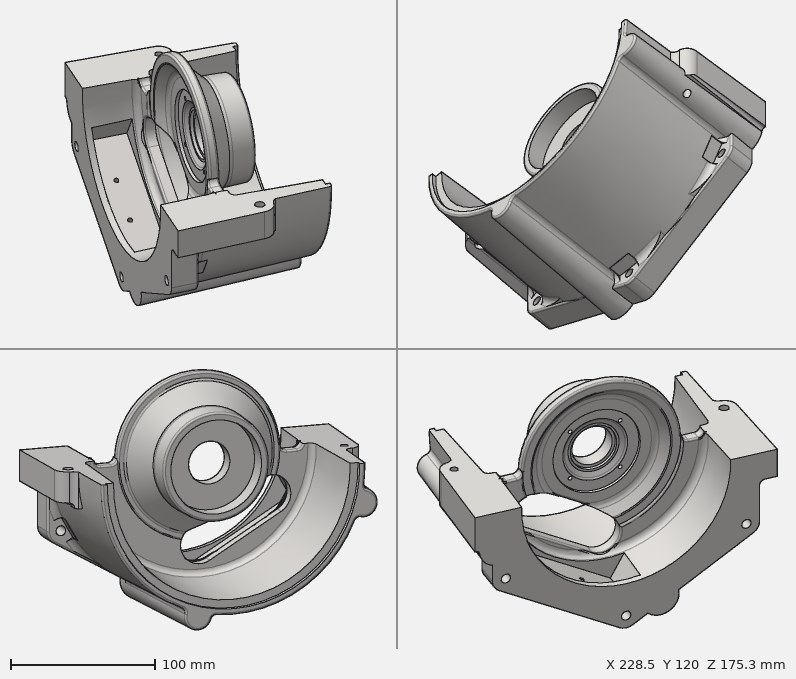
import cadquery as cq
import math

LENGTH = 120.0
HEIGHT = 175.34
PARTING_Z = 2.7
DRAFT = math.tan(math.radians(2.0))
CLEARANCE = 1.0
TOLERANCE = 1e-3
SIDES = (-1, 1)
OVERSIZE = 150.0

FLANGE_THICKNESS = 20.0
FLANGE_EDGE_ROUND = 1.5
BOLT_CIRCLE_RADIUS = 105.0
BOLT_ANGLES = (-150.0, -90.0, -30.0)
BOLT_DIAMETER = 7.0
BOLT_CORNER_RADIUS = 10.0
SHELL_RADIUS = 101.6
SHELL_BLEND = 5.0
REAR_EDGE_ROUND = 1.5
SEAT_DEPTH = 10.0
SEAT_WIDTH = 18.2
SEAT_FLAT_RADIUS = 100.1

BOSS_CIRCLE_RADIUS = 100.0
BOSS_ANGLES = (-165.0, -75.0)
BOSS_RADIUS = 14.1
BOSS_BLEND = 4.0

EAR_HALF_SPAN = 114.27
EAR_HOLE_X = 102.0
EAR_HOLE_Y = 64.8
EAR_ROUND = 10.0
EAR_END_Y = 77.6
EAR_NECK = (100.2, 75.9)
EAR_SHOULDER_ANGLE = 75.0
EAR_INNER_X = 92.0
EAR_BOTTOM_Z = {-1: -25.3, 1: -19.5}
EAR_BLEND = {-1: 2.5, 1: 4.0}
EAR_HOLE_DIAMETER = {-1: 5.4, 1: 7.0}
EAR_ROOT_X = {-1: 110.7, 1: 100.93}

WEB_FRONT_Y = 41.0
WEB_BACK_Y = 50.0
FRONT_CAVITY_RADIUS = 79.0
FRONT_CAVITY_FILLET = 5.0
REAR_CAVITY_RADIUS = 87.4
REAR_CAVITY_FILLET = 4.5
REGISTER_RADIUS = 93.2
REGISTER_DEPTH = 3.4
WEB_TOP_Z = -1.1
NOTCH_ROUND = 4.5
NOTCH_INNER_X = 60.3
NOTCH_OUTER_X = 77.0
WEB_EDGE_ROUND = 1.4

RIM_RADIUS = HEIGHT - BOLT_CIRCLE_RADIUS - BOLT_CORNER_RADIUS
RIM_FRONT_Y = 43.0
RIM_BACK_Y = 50.4
RIM_ROUND = 1.5
RIM_RECESS_RADIUS = 59.8
RIM_RECESS_ROUND = 1.5
DISH_RADIUS = 52.8
DISH_FLOOR_RADIUS = 42.0
DISH_FLOOR_Y = 51.5
DISH_FILLET = 7.0
DISH_EDGE_ROUND = 1.5
STEP_RADIUS = 33.0
STEP_Y = 54.0
HUB_RADIUS = 39.5
HUB_SHOULDER_Y = 68.0
HUB_END_Y = 85.0
HUB_ROUND = 1.5
CONE_RADIUS = 54.6
CONE_BLEND = 2.5
BORE_RADIUS = 15.2
REAR_BORE_RADIUS = 33.5
REAR_BORE_Y = 71.0
BOWL_RADIUS = 24.5
BOWL_RIM_RADIUS = 23.0
BOWL_RIM_Y = 55.0
BOWL_STEP_RADIUS = 19.3
BOWL_STEP_Y = 57.0
BOWL_END_RADIUS = 17.5
BOWL_END_Y = 59.5
SCREW_OFFSET = 18.9
SCREW_DIAMETER = 2.9
SCREW_DEPTH = 8.0

TILT = 30.0
SLOT_DISTANCE = 54.5
SLOT_SPAN = 61.0
SLOT_RADIUS = 14.3
SLOT_FRONT_Y = 35.0
SLOT_BACK_Y = 68.0
POCKET_DISTANCE = 80.5
POCKET_LENGTH = 100.0
POCKET_HEIGHT = 45.0
POCKET_FRONT_Y = 5.0
POCKET_BACK_Y = 34.6
TAPPED_SPACING = 32.0
TAPPED_Y = 16.0
TAPPED_DIAMETER = 3.3
TAPPED_DEPTH = 10.0


def polar(radius, angle):
    """XZ point at a radius and an angle (degrees) around the bore axis."""
    return radius * math.cos(math.radians(angle)), radius * math.sin(math.radians(angle))


def cylinder_y(x, z, radius, y_start, y_end, y_taper=0.0):
    """Cylinder along Y, narrowing by y_taper per unit of length."""
    length = y_end - y_start
    start = cq.Vector(x, y_start, z)
    along_y = cq.Vector(0, 1, 0)
    if y_taper:
        solid = cq.Solid.makeCone(radius, radius - y_taper * length, length, start, along_y)
    else:
        solid = cq.Solid.makeCylinder(radius, length, start, along_y)
    return cq.Workplane(obj=solid)


def turned(profile):
    """Revolve a closed (radius, y) profile around the bore axis."""
    return profile.close().revolve(360, (0, 0, 0), (0, 1, 0))


def prism_y(profile, y_start, y_end):
    """Extrude a closed XZ profile, drawn on the plane y = 0, from y_start to y_end."""
    return profile.close().extrude(-(y_end - y_start)).translate((0, y_start, 0))


def block(x_range, y_range, z_range):
    """Axis-aligned box from its three ranges."""
    sizes = [high - low for low, high in (x_range, y_range, z_range)]
    corner = (x_range[0], y_range[0], z_range[0])
    return cq.Workplane("XY").box(*sizes, centered=False).translate(corner)


def shell_radius(y):
    return SHELL_RADIUS - DRAFT * y


def flange_prism(thickness, inset=0.0):
    """Three-cornered plate whose sides are tangent to the rounds around the bolt holes."""
    corner_radius = BOLT_CORNER_RADIUS - inset
    apothem = BOLT_CIRCLE_RADIUS * math.cos(math.radians(TILT)) + corner_radius
    corner = apothem / math.cos(math.radians(TILT))
    left, bottom, right = [polar(corner, angle) for angle in BOLT_ANGLES]
    profile = cq.Workplane("XZ").moveTo(left[0], PARTING_Z)
    profile = profile.lineTo(*left).lineTo(*bottom).lineTo(*right).lineTo(right[0], PARTING_Z)
    plate = prism_y(profile, 0, thickness)
    for corner_point in (left, bottom, right):
        point = (corner_point[0], thickness / 2, corner_point[1])
        plate = plate.edges(cq.selectors.NearestToPointSelector(point)).fillet(corner_radius)
    return plate


def shell():
    """Drafted outer ring of the housing behind the flange."""
    start = FLANGE_THICKNESS / 2
    profile = (cq.Workplane("XY").moveTo(0, start).lineTo(shell_radius(FLANGE_THICKNESS), start)
               .lineTo(shell_radius(FLANGE_THICKNESS), FLANGE_THICKNESS)
               .lineTo(shell_radius(LENGTH), LENGTH).lineTo(0, LENGTH))
    return turned(profile)


def shell_blend():
    """Concave ring between shell and flange back, kept inside the flange outline."""
    y_end = FLANGE_THICKNESS + SHELL_BLEND
    root = shell_radius(FLANGE_THICKNESS)
    centre = (root + SHELL_BLEND, y_end)
    reach = SHELL_BLEND * math.sqrt(0.5)
    profile = (cq.Workplane("XY").moveTo(root - SHELL_BLEND, FLANGE_THICKNESS)
               .lineTo(centre[0], FLANGE_THICKNESS)
               .threePointArc((centre[0] - reach, centre[1] - reach), (shell_radius(y_end), y_end))
               .lineTo(root - SHELL_BLEND, y_end))
    return turned(profile).intersect(flange_prism(2 * FLANGE_THICKNESS, FLANGE_EDGE_ROUND))


def ear(side):
    """Clamping ear on one side (-1 or +1): its plan shape cut to its end-view shape."""
    tip_x = EAR_HALF_SPAN - DRAFT * EAR_HOLE_Y
    bend = polar(EAR_ROUND, EAR_SHOULDER_ANGLE)
    mid = polar(EAR_ROUND, EAR_SHOULDER_ANGLE / 2)
    shell_x = shell_radius(EAR_END_Y)
    plan = (cq.Workplane("XY").workplane(offset=PARTING_Z - OVERSIZE).moveTo(EAR_INNER_X, 0)
            .lineTo(EAR_HALF_SPAN, 0).lineTo(tip_x, EAR_HOLE_Y)
            .threePointArc((EAR_HOLE_X + mid[0], EAR_HOLE_Y + mid[1]),
                           (EAR_HOLE_X + bend[0], EAR_HOLE_Y + bend[1]))
            .threePointArc(EAR_NECK, (shell_x, EAR_END_Y))
            .lineTo(EAR_INNER_X, EAR_END_Y).close().extrude(OVERSIZE))
    bottom = EAR_BOTTOM_Z[side]
    blend = EAR_BLEND[side]
    root_x = EAR_ROOT_X[side]
    sag = blend * (1 - math.sqrt(0.5))
    end_view = (cq.Workplane("XZ").moveTo(EAR_INNER_X, PARTING_Z).lineTo(OVERSIZE, PARTING_Z)
                .lineTo(OVERSIZE, bottom).lineTo(root_x + blend, bottom)
                .threePointArc((root_x + sag, bottom - sag), (root_x, bottom - blend))
                .lineTo(EAR_INNER_X, bottom - blend))
    solid = plan.intersect(prism_y(end_view, 0, EAR_END_Y))
    return solid if side > 0 else solid.mirror("YZ")


def boss(angle):
    x, z = polar(BOSS_CIRCLE_RADIUS, angle)
    return cylinder_y(x, z, BOSS_RADIUS, 0, LENGTH, DRAFT)


def front_cavity():
    """Drafted cavity in front of the web, with a filleted floor."""
    wall = FRONT_CAVITY_RADIUS - DRAFT * (WEB_FRONT_Y - FRONT_CAVITY_FILLET)
    sag = FRONT_CAVITY_FILLET * (1 - math.sqrt(0.5))
    profile = (cq.Workplane("XY").lineTo(FRONT_CAVITY_RADIUS, 0)
               .lineTo(wall, WEB_FRONT_Y - FRONT_CAVITY_FILLET)
               .threePointArc((wall - sag, WEB_FRONT_Y - sag), (wall - FRONT_CAVITY_FILLET, WEB_FRONT_Y))
               .lineTo(0, WEB_FRONT_Y))
    return turned(profile)


def rear_cavity():
    """Drafted cavity behind the web, ending in a shallow register at the rear face."""
    fillet_y = WEB_BACK_Y + REAR_CAVITY_FILLET
    wall = REAR_CAVITY_RADIUS - DRAFT * (LENGTH - fillet_y)
    sag = REAR_CAVITY_FILLET * (1 - math.sqrt(0.5))
    register_y = LENGTH - REGISTER_DEPTH
    profile = (cq.Workplane("XY").moveTo(0, WEB_BACK_Y).lineTo(wall - REAR_CAVITY_FILLET, WEB_BACK_Y)
               .threePointArc((wall - sag, WEB_BACK_Y + sag), (wall, fillet_y))
               .lineTo(REAR_CAVITY_RADIUS, register_y).lineTo(REGISTER_RADIUS, register_y)
               .lineTo(REGISTER_RADIUS, LENGTH).lineTo(0, LENGTH))
    return turned(profile)


def rim_recess():
    """Shallow recess in the web front around the rim, with a rounded mouth."""
    mouth = RIM_RECESS_RADIUS + RIM_RECESS_ROUND
    sag = RIM_RECESS_ROUND * (1 - math.sqrt(0.5))
    profile = (cq.Workplane("XY").moveTo(0, WEB_FRONT_Y).lineTo(mouth, WEB_FRONT_Y)
               .threePointArc((RIM_RECESS_RADIUS + sag, WEB_FRONT_Y + sag),
                              (RIM_RECESS_RADIUS, WEB_FRONT_Y + RIM_RECESS_ROUND))
               .lineTo(RIM_RECESS_RADIUS, RIM_FRONT_Y).lineTo(0, RIM_FRONT_Y))
    return turned(profile)


def flare(cutter, y, outward):
    """The part of a cutter inside a wall face at height y, widened there to leave a rounded edge.

    outward is the Y direction (-1 or +1) that leads out of the wall.
    """
    slab = block((-OVERSIZE, OVERSIZE), sorted((y, y + outward * OVERSIZE)), (-OVERSIZE, OVERSIZE))
    joined = cutter.cut(slab).union(slab)

    def on_mouth(edge):
        end, middle = edge.startPoint(), edge.positionAt(0.5)
        in_plane = max(abs(end.y - y), abs(middle.y - y)) < TOLERANCE
        return in_plane and max(abs(middle.x), abs(middle.z)) < OVERSIZE - TOLERANCE
    mouth = joined.newObject(joined.edges().filter(on_mouth).vals())
    return mouth.fillet(WEB_EDGE_ROUND).cut(slab)


def web_notch(side):
    """Relief that lowers the web below the split plane between rim and cavity wall."""
    notch = block((NOTCH_INNER_X, NOTCH_OUTER_X), (WEB_FRONT_Y - CLEARANCE, WEB_BACK_Y + CLEARANCE),
                  (WEB_TOP_Z, PARTING_Z + NOTCH_ROUND))
    notch = notch.edges("|Y and <Z").fillet(NOTCH_ROUND)
    notch = notch.union(flare(notch, WEB_FRONT_Y, -1)).union(flare(notch, WEB_BACK_Y, 1))
    return notch if side > 0 else notch.mirror("YZ")


def round_circle(solid, radius, y, fillet):
    """Fillet the circular edge of the given radius that lies at height y."""
    def matches(edge):
        return abs(edge.radius() - radius) < TOLERANCE and abs(edge.Center().y - y) < TOLERANCE
    return solid.newObject(solid.edges("%CIRCLE").filter(matches).vals()).fillet(fillet)


def hub():
    """Bearing hub: rim, 45 degree cone and boss outside, dish and stepped bore inside."""
    cone_end_y = RIM_BACK_Y + CONE_RADIUS - HUB_RADIUS
    tip_radius = HUB_RADIUS - DRAFT * (HUB_END_Y - HUB_SHOULDER_Y)
    dish_corner_radius = DISH_RADIUS - (DISH_FLOOR_Y - RIM_FRONT_Y)
    profile = (cq.Workplane("XY").moveTo(DISH_RADIUS, RIM_FRONT_Y)
               .lineTo(RIM_RADIUS, RIM_FRONT_Y).lineTo(RIM_RADIUS, RIM_BACK_Y)
               .lineTo(CONE_RADIUS, RIM_BACK_Y).lineTo(HUB_RADIUS, cone_end_y)
               .lineTo(HUB_RADIUS, HUB_SHOULDER_Y).lineTo(tip_radius, HUB_END_Y)
               .lineTo(REAR_BORE_RADIUS, HUB_END_Y).lineTo(REAR_BORE_RADIUS, REAR_BORE_Y)
               .lineTo(BORE_RADIUS, REAR_BORE_Y).lineTo(BORE_RADIUS, BOWL_END_Y)
               .lineTo(BOWL_END_RADIUS, BOWL_END_Y).lineTo(BOWL_END_RADIUS, BOWL_STEP_Y)
               .lineTo(BOWL_STEP_RADIUS, BOWL_STEP_Y).lineTo(BOWL_RIM_RADIUS, BOWL_RIM_Y)
               .lineTo(BOWL_RADIUS, STEP_Y)
               .lineTo(STEP_RADIUS, STEP_Y).lineTo(STEP_RADIUS, DISH_FLOOR_Y)
               .lineTo(dish_corner_radius, DISH_FLOOR_Y))
    solid = turned(profile)
    solid = round_circle(solid, RIM_RADIUS, RIM_FRONT_Y, RIM_ROUND)
    solid = round_circle(solid, RIM_RADIUS, RIM_BACK_Y, RIM_ROUND)
    solid = round_circle(solid, CONE_RADIUS, RIM_BACK_Y, CONE_BLEND)
    solid = round_circle(solid, tip_radius, HUB_END_Y, HUB_ROUND)
    solid = round_circle(solid, DISH_RADIUS, RIM_FRONT_Y, DISH_EDGE_ROUND)
    solid = round_circle(solid, dish_corner_radius, DISH_FLOOR_Y, DISH_FILLET)
    for x in (-SCREW_OFFSET, SCREW_OFFSET):
        for z in (-SCREW_OFFSET, SCREW_OFFSET):
            solid = solid.cut(cylinder_y(x, z, SCREW_DIAMETER / 2, STEP_Y, STEP_Y + SCREW_DEPTH))
    return solid


def tilted(solid):
    """Turn a solid drawn below the axis so that it faces down and towards -X."""
    return solid.rotate((0, 0, 0), (0, 1, 0), TILT)


def slot():
    """Inclined round-ended opening through web and dish, with rounded front edges."""
    centre_z = -SLOT_DISTANCE
    half = SLOT_SPAN / 2
    opening = block((-half, half), (SLOT_FRONT_Y, SLOT_BACK_Y),
                    (centre_z - SLOT_RADIUS, centre_z + SLOT_RADIUS))
    for x in (-half, half):
        opening = opening.union(cylinder_y(x, centre_z, SLOT_RADIUS, SLOT_FRONT_Y, SLOT_BACK_Y))
    dish_space = cylinder_y(0, 0, DISH_FLOOR_RADIUS, 0, LENGTH)
    dish_flare = flare(opening, DISH_FLOOR_Y, -1).intersect(dish_space)
    return tilted(opening.union(flare(opening, WEB_FRONT_Y, -1)).union(dish_flare))


def pocket():
    """Flat-floored pocket in the front cavity with its two tapped holes."""
    half = POCKET_LENGTH / 2
    solid = block((-half, half), (POCKET_FRONT_Y, POCKET_BACK_Y),
                  (-POCKET_DISTANCE, POCKET_HEIGHT - POCKET_DISTANCE))
    for x in (-TAPPED_SPACING / 2, TAPPED_SPACING / 2):
        hole = cq.Solid.makeCylinder(TAPPED_DIAMETER / 2, 2 * TAPPED_DEPTH,
                                     cq.Vector(x, TAPPED_Y, -POCKET_DISTANCE - TAPPED_DEPTH))
        solid = solid.union(cq.Workplane(obj=hole))
    return tilted(solid)


def bolt_cut(angle):
    """Bolt hole through the flange with a flat clearance seat behind it."""
    x, z = polar(BOLT_CIRCLE_RADIUS, angle)
    seat_end_y = FLANGE_THICKNESS + SEAT_DEPTH
    seat = block((SEAT_FLAT_RADIUS, OVERSIZE), (FLANGE_THICKNESS, seat_end_y),
                 (-SEAT_WIDTH / 2, SEAT_WIDTH / 2)).rotate((0, 0, 0), (0, 1, 0), -angle)
    return seat.union(cylinder_y(x, z, BOLT_DIAMETER / 2, 0, seat_end_y))


def ear_hole(side):
    hole = cq.Solid.makeCylinder(EAR_HOLE_DIAMETER[side] / 2, OVERSIZE,
                                 cq.Vector(side * EAR_HOLE_X, EAR_HOLE_Y, -OVERSIZE + PARTING_Z))
    return cq.Workplane(obj=hole)


def outer_body():
    """Solid housing body below the split plane, before the cavities are cut."""
    flange = flange_prism(FLANGE_THICKNESS).faces(">Y").edges().fillet(FLANGE_EDGE_ROUND)
    ring = shell()
    for angle in BOSS_ANGLES:
        ring = ring.union(boss(angle))
    behind_flange = cq.selectors.BoxSelector(
        (-OVERSIZE, FLANGE_THICKNESS, -OVERSIZE), (OVERSIZE, LENGTH - CLEARANCE, OVERSIZE))
    ring = ring.edges("not %CIRCLE").edges(behind_flange).fillet(BOSS_BLEND)
    ring = ring.faces(">Y").edges().fillet(REAR_EDGE_ROUND)
    body = flange.union(ring).union(shell_blend())
    for side in SIDES:
        body = body.union(ear(side))
    return body.intersect(block((-OVERSIZE, OVERSIZE), (0, LENGTH), (-OVERSIZE, PARTING_Z)))


result = outer_body().cut(front_cavity()).cut(rear_cavity())
for side in SIDES:
    result = result.cut(web_notch(side)).cut(ear_hole(side))
result = result.cut(rim_recess())
result = result.cut(cylinder_y(0, 0, DISH_RADIUS + CLEARANCE, WEB_FRONT_Y, WEB_BACK_Y))
result = result.union(hub()).cut(slot()).cut(pocket())
for angle in BOLT_ANGLES:
    result = result.cut(bolt_cut(angle))